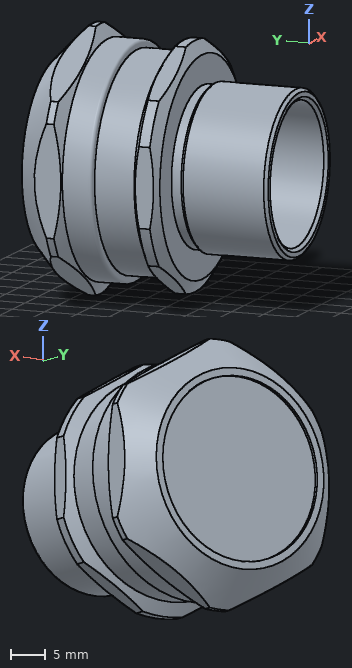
import cadquery as cq
import math


HEX_SIDES = 6

cap_flats = 36.0
cap_corner_diameter = 39.72
cap_length = 7.5
cap_rear_diameter = 29.5
cap_rear_cone_angle = 45.0
recess_diameter = 27.2
recess_depth = 0.5

collar_diameter = 35.5
collar_length = 4.5
barrel_diameter = 33.0
barrel_length = 6.12

hex_flats = 35.0
hex_corner_diameter = 37.0
hex_length = 4.0
hex_face_diameter = barrel_diameter

neck_diameter = 24.0
neck_length = 1.5
spigot_diameter = 25.0
spigot_length = 13.5
bore_diameter = 21.5
bore_depth = 13.0

edge_chamfer = 0.5
collar_fillet = 0.5
hex_cone_angle = 30.0

cap_end = cap_length
collar_end = cap_end + collar_length
barrel_end = collar_end + barrel_length
hex_end = barrel_end + hex_length
neck_end = hex_end + neck_length
spigot_end = neck_end + spigot_length


def prism(profile, start, length):
    """Extrude a profile drawn on the XZ plane from `start` along -Y."""
    return profile.extrude(length).translate((0, -start, 0))


def turned(outline):
    """Close an outline drawn on the XY plane and revolve it about the Y axis."""
    return outline.close().revolve(360, (0, 0, 0), (0, 1, 0))


def cylinder(diameter, start, end):
    """Cylinder on the Y axis between two distances from the back face."""
    return prism(cq.Workplane("XZ").circle(diameter / 2), start, end - start)


def hexagon(flats, start, length):
    """Hexagonal prism with flats facing +X and -X and corners pointing up and down."""
    across_corners = flats / math.cos(math.pi / HEX_SIDES)
    profile = cq.Workplane("XZ").transformed(rotate=(0, 0, 90)).polygon(HEX_SIDES, across_corners)
    return prism(profile, start, length)


def double_cone(outer_radius, start, end, rear, front):
    """Turned blank with a cone at each end; `rear` and `front` are (face radius, cone angle)."""
    rear_radius, rear_angle = rear
    front_radius, front_angle = front
    rear_run = (outer_radius - rear_radius) * math.tan(math.radians(rear_angle))
    front_run = (outer_radius - front_radius) * math.tan(math.radians(front_angle))
    profile = cq.Workplane("XY").polyline(
        [
            (0, -start),
            (rear_radius, -start),
            (outer_radius, -start - rear_run),
            (outer_radius, -end + front_run),
            (front_radius, -end),
            (0, -end),
        ]
    )
    return turned(profile)


def make_cap():
    """Cap nut: hexagon with corners turned round, coned at both ends, with a shallow rear recess."""
    rear = (cap_rear_diameter / 2, cap_rear_cone_angle)
    front = (collar_diameter / 2, hex_cone_angle)
    blank = double_cone(cap_corner_diameter / 2, 0, cap_end, rear, front)
    cap = hexagon(cap_flats, 0, cap_length).intersect(blank)
    return cap.cut(cylinder(recess_diameter, 0, recess_depth))


def make_collar():
    """Round collar in front of the cap nut, with a rounded front edge."""
    return cylinder(collar_diameter, cap_end, collar_end).faces("<Y").fillet(collar_fillet)


def make_body_hexagon():
    """Hexagon with corners turned round and both faces coned."""
    cone = (hex_face_diameter / 2, hex_cone_angle)
    blank = double_cone(hex_corner_diameter / 2, barrel_end, hex_end, cone, cone)
    return hexagon(hex_flats, barrel_end, hex_length).intersect(blank)


def make_spigot():
    """Round spigot with chamfered ends, joined to the body by a narrower neck."""
    spigot = cylinder(spigot_diameter, neck_end, spigot_end).faces("<Y or >Y").chamfer(edge_chamfer)
    return spigot.union(cylinder(neck_diameter, hex_end, neck_end))


def make_bore():
    """Blind bore from the spigot end, with a chamfered mouth."""
    bore = cylinder(bore_diameter, spigot_end - bore_depth, spigot_end)
    mouth_radius = bore_diameter / 2 + edge_chamfer
    mouth = cq.Workplane("XY").polyline(
        [
            (0, -spigot_end),
            (mouth_radius, -spigot_end),
            (bore_diameter / 2, -spigot_end + edge_chamfer),
            (0, -spigot_end + edge_chamfer),
        ]
    )
    return bore.union(turned(mouth))


result = (
    make_cap()
    .union(make_collar())
    .union(cylinder(barrel_diameter, collar_end, barrel_end))
    .union(make_body_hexagon())
    .union(make_spigot())
    .cut(make_bore())
)